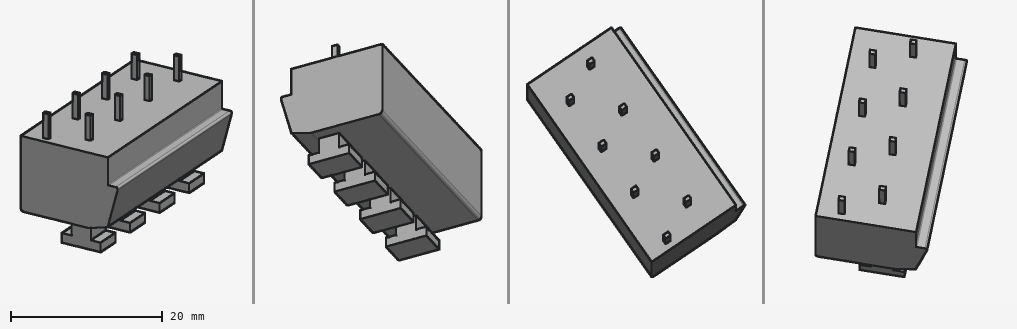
import cadquery as cq
import math

housing_length = 29.0
housing_height = 10.9
housing_width = 13.5
overall_width = 15.0
corner_radius = 0.5
rail_top = 6.9
rail_tip_radius = 0.3
rail_face_tilt = math.radians(15)
notch_radius = 0.1
bevel_start = 10.5
bevel_rise = 0.8
bevel_corner_radius = 0.2

pole_count = 4
pole_pitch = 7.5

pin_height = 3.6
pin_size_x = 0.8
pin_size_y = 0.6
inner_pin_x = 8.3
inner_pin_y = 2.75
pin_row_offset = 5.0
pin_stagger = 2.5

button_x = 8.75
button_y = 3.6
button_length = 3.8
button_drop = 3.6
stem_width = 3.0
foot_width = 6.0
foot_thickness = 1.4


def box_at(size_x, size_y, height, x, y, z):
    """Box centred on (x, y) with its bottom at height z."""
    return (
        cq.Workplane("XY")
        .box(size_x, size_y, height, centered=(True, True, False))
        .translate((x, y, z))
    )


def pole_positions(first_from_end):
    """Y of each repeat, stepping toward -Y from the +Y end of the housing."""
    first_y = housing_length / 2 - first_from_end
    return [first_y - i * pole_pitch for i in range(pole_count)]


def round_edge(body, x, z, radius):
    """Round the lengthwise housing edge that passes through (x, z)."""
    edge = body.edges(cq.NearestToPointSelector((x, 0, z)))
    return edge.fillet(radius)


def make_housing():
    tip_reach = rail_tip_radius * (1 + math.sin(rail_face_tilt)) / math.cos(rail_face_tilt)
    tip_x = overall_width - rail_tip_radius + tip_reach
    bevel_end = tip_x - (rail_top - bevel_rise) * math.tan(rail_face_tilt)
    body = (
        cq.Workplane("XZ")
        .moveTo(0, 0)
        .lineTo(bevel_start, 0)
        .lineTo(bevel_end, bevel_rise)
        .lineTo(tip_x, rail_top)
        .lineTo(housing_width, rail_top)
        .lineTo(housing_width, housing_height)
        .lineTo(0, housing_height)
        .close()
        .extrude(housing_length / 2, both=True)
    )
    body = round_edge(body, 0, 0, corner_radius)
    body = round_edge(body, bevel_end, bevel_rise, bevel_corner_radius)
    body = round_edge(body, tip_x, rail_top, rail_tip_radius)
    return round_edge(body, housing_width, rail_top, notch_radius)


def make_pin(x, y):
    return box_at(pin_size_x, pin_size_y, pin_height, x, y, housing_height)


def make_button(y):
    stem = box_at(stem_width, button_length, button_drop, button_x, y, -button_drop)
    foot = box_at(foot_width, button_length, foot_thickness, button_x, y, -button_drop)
    return stem.union(foot)


result = make_housing()
for y in pole_positions(inner_pin_y):
    result = result.union(make_pin(inner_pin_x, y))
    result = result.union(make_pin(inner_pin_x - pin_row_offset, y - pin_stagger))
for y in pole_positions(button_y):
    result = result.union(make_button(y))